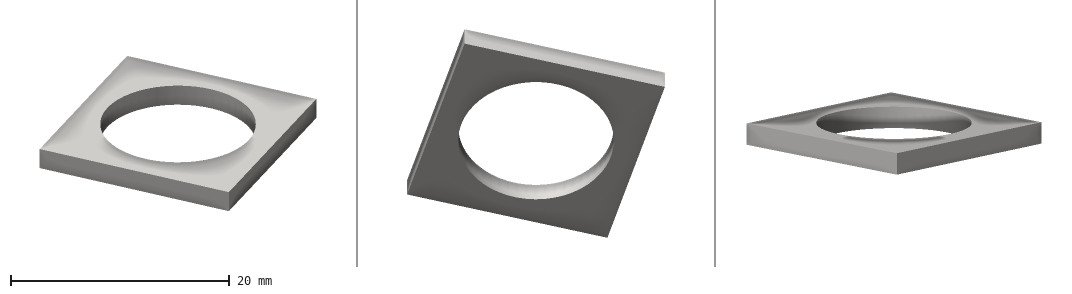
import cadquery as cq

side = 19.05
thickness = 2.0
hole_diameter = 14.23

plate = cq.Workplane("XY").box(side, side, thickness)
result = plate.faces(">Z").workplane().hole(hole_diameter)